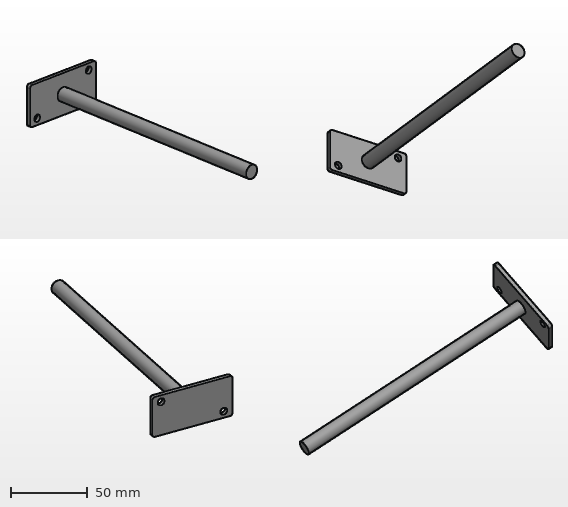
import cadquery as cq

length = 180.0
plate_width = 60.0
plate_height = 30.0
plate_thickness = 3.0
corner_radius = 2.0
rod_diameter = 10.0

hole_diameter = 5.0
hole_offset_y = 23.4
hole_offset_z = 10.0


def make_plate():
    """Rounded plate with its outer face at X = 0 and a diagonal pair of holes."""
    plate = (
        cq.Workplane("YZ")
        .rect(plate_width, plate_height)
        .extrude(plate_thickness)
        .edges("|X")
        .fillet(corner_radius)
    )
    holes = (
        cq.Workplane("YZ")
        .pushPoints([(hole_offset_y, hole_offset_z), (-hole_offset_y, -hole_offset_z)])
        .circle(hole_diameter / 2)
        .extrude(plate_thickness)
    )
    return plate.cut(holes)


def make_rod():
    """Round rod centred on the plate, reaching the full length."""
    return (
        cq.Workplane("YZ", origin=(plate_thickness, 0, 0))
        .circle(rod_diameter / 2)
        .extrude(length - plate_thickness)
    )


result = make_plate().union(make_rod())